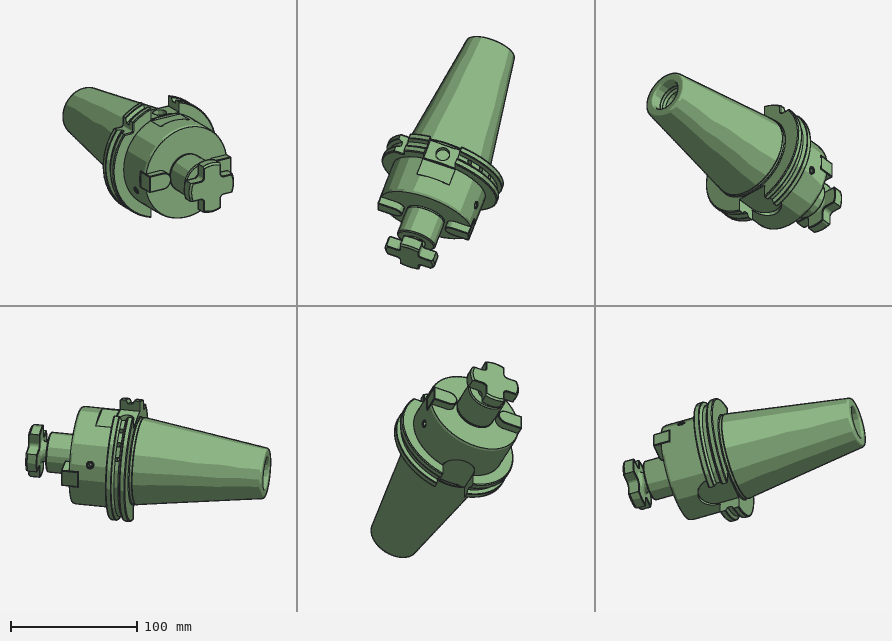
import cadquery as cq
import math

GAUGE_X = 101.7
FLANGE_X = 105.0
GROOVE_X = 112.7
FLANGE_END_X = 120.7
NOSE_END_X = 152.0
SPIGOT_END_X = 175.5
OVERALL_LENGTH = 190.8

GAUGE_RADIUS = 35.0
TAPER_SLOPE = 7 / 48
REAR_ROUND = 2.1
NECK_RADIUS = 34.5
NECK_STEP = 0.5
NECK_CHAMFER = 0.8
ENTRY_FILLET = 1.3
ENTRY_DIAMETER = 25.5
ENTRY_END_X = 8.5
BORE_DIAMETER = 25.0
BORE_END_X = 11.3
THREAD_DIAMETER = 21.0
THREAD_X = 13.0
THREAD_END_X = 45.8
BORE_FLOOR_DIAMETER = 14.0
BORE_CONE_ANGLE = 60.0

FLANGE_RADIUS = 48.6
FLANGE_CHAMFER = 0.8
GROOVE_FLOOR_RADIUS = 45.5
GROOVE_FLOOR_WIDTH = 3.2
GROOVE_WALL_ANGLE = 30.0
GROOVE_RIM_WIDTH = 0.5
GROOVE_RIM_DEPTH = 0.29
SLOT_WIDTH = 26.3
UPPER_SLOT_FLOOR = 37.8
LOWER_SLOT_FLOOR = 35.3
NOTCH_OFFSET = 30.0
NOTCH_FILLET = 2.0
CHIP_HOLE_DIAMETER = 11.0
CHIP_HOLE_DEPTH = 4.5
BALANCE_HOLE_DIAMETER = 3.5
BALANCE_HOLE_DEPTH = 9.5
BALANCE_ANGLES = (30, 45, 60)

NOSE_RADIUS = 39.0
NOSE_CHAMFER_LENGTH = 2.0
NOSE_CHAMFER_DEPTH = 0.5
FLAT_X = 121.3
FLAT_END_X = 135.2
FLAT_HEIGHT = 36.5
SPIGOT_DIAMETER = 31.9
SPIGOT_CHAMFER = 1.0
RELIEF_DIAMETER = 31.5
RELIEF_END_X = 153.4

KEY_WIDTH = 14.0
KEY_X = 144.4
KEY_END_X = 158.3
KEY_OUTER_Y = 38.3
KEY_INNER_Y = 18.1
KEY_CHAMFER = 0.5
KEY_TURNS = (0, 180)

SHANK_RADIUS = 8.0
SHANK_X = 141.2
HEAD_X = 181.4
HEAD_RADIUS = 21.0
HEAD_FILLET = 2.7
LUG_WIDTH = 15.6
LUG_FILLET = 3.2
LUG_CHAMFER = 0.5
HEAD_BACK_CHAMFER = 0.5
HEAD_FRONT_CHAMFER = 1.5

NOZZLE_X = 135.5
NOZZLE_ANGLE = 20.0
NOZZLE_TURNS = (NOZZLE_ANGLE - 90, NOZZLE_ANGLE + 90)
NOZZLE_DIAMETER = 6.0
NOZZLE_BORE = 3.5
NOZZLE_LENGTH = 5.7
NOZZLE_CHAMFER = 0.8
NOZZLE_RECESS = 0.5


def box(x0, x1, y0, y1, z0, z1):
    """Axis-aligned block between the given limits."""
    return cq.Workplane("XY").box(x1 - x0, y1 - y0, z1 - z0, centered=False).translate((x0, y0, z0))


def rod(radius, x0, x1):
    """Cylinder on the X axis."""
    return cq.Workplane("YZ", origin=(x0, 0, 0)).circle(radius).extrude(x1 - x0)


def spin(profile):
    """Revolve a closed X-radius profile about the X axis."""
    return profile.close().revolve(360, (0, 0, 0), (1, 0, 0))


def radial_rod(diameter, x, angle, inner, outer):
    """Cylinder pointing away from the X axis, at an angle from +Z towards +Y."""
    rod_up = cq.Workplane("XY", origin=(x, 0, inner)).circle(diameter / 2).extrude(outer - inner)
    return rod_up.rotate((0, 0, 0), (1, 0, 0), -angle)


def turned(body, angle):
    """The body turned about the X axis, from +Y towards +Z."""
    return body.rotate((0, 0, 0), (1, 0, 0), angle)


def taper():
    """Taper with a rounded small end, and the short neck behind the flange."""
    rear_radius = GAUGE_RADIUS - GAUGE_X * TAPER_SLOPE
    cone = spin(
        cq.Workplane("XY")
        .lineTo(0, rear_radius)
        .lineTo(GAUGE_X, GAUGE_RADIUS)
        .lineTo(GAUGE_X + NECK_STEP, NECK_RADIUS)
        .lineTo(FLANGE_X - NECK_CHAMFER, NECK_RADIUS)
        .lineTo(FLANGE_X, NECK_RADIUS + NECK_CHAMFER)
        .lineTo(FLANGE_X, 0)
    )
    return cone.faces("<X").edges().fillet(REAR_ROUND)


def rear_bore():
    """Space of the stepped threaded bore, ending in a cone with a flat floor."""
    entry = ENTRY_DIAMETER / 2
    bore = BORE_DIAMETER / 2
    thread = THREAD_DIAMETER / 2
    floor = BORE_FLOOR_DIAMETER / 2
    floor_x = THREAD_END_X + (thread - floor) / math.tan(math.radians(BORE_CONE_ANGLE))
    return spin(
        cq.Workplane("XY")
        .lineTo(0, entry + ENTRY_FILLET)
        .radiusArc((ENTRY_FILLET, entry), -ENTRY_FILLET)
        .lineTo(ENTRY_END_X, entry)
        .lineTo(ENTRY_END_X, bore)
        .lineTo(BORE_END_X, bore)
        .lineTo(THREAD_X, thread)
        .lineTo(THREAD_END_X, thread)
        .lineTo(floor_x, floor)
        .lineTo(floor_x, 0)
    )


def gripper_groove():
    """Ring of the V groove around the flange rim."""
    floor = GROOVE_FLOOR_WIDTH / 2
    wall_top = FLANGE_RADIUS - GROOVE_RIM_DEPTH
    rim = floor + (wall_top - GROOVE_FLOOR_RADIUS) * math.tan(math.radians(GROOVE_WALL_ANGLE))
    return spin(
        cq.Workplane("XY")
        .moveTo(GROOVE_X - floor, GROOVE_FLOOR_RADIUS)
        .lineTo(GROOVE_X - rim, wall_top)
        .lineTo(GROOVE_X - rim - GROOVE_RIM_WIDTH, FLANGE_RADIUS)
        .lineTo(GROOVE_X + rim + GROOVE_RIM_WIDTH, FLANGE_RADIUS)
        .lineTo(GROOVE_X + rim, wall_top)
        .lineTo(GROOVE_X + floor, GROOVE_FLOOR_RADIUS)
    )


def flange():
    """Grooved flange with its upper slot, corner notch, chip hole and balance holes."""
    reach = FLANGE_RADIUS + 2
    notch = box(FLANGE_X, FLANGE_END_X, -reach, -NOTCH_OFFSET, NOTCH_OFFSET, reach)
    notch = notch.edges("|X and >Y and <Z").fillet(NOTCH_FILLET)
    body = rod(FLANGE_RADIUS, FLANGE_X, FLANGE_END_X).cut(notch)
    body = body.faces("<X or >X").edges().chamfer(FLANGE_CHAMFER)
    body = body.cut(gripper_groove())

    half_slot = SLOT_WIDTH / 2
    body = body.cut(box(FLANGE_X, FLANGE_END_X, -half_slot, half_slot, UPPER_SLOT_FLOOR, reach))

    chip_floor = UPPER_SLOT_FLOOR - CHIP_HOLE_DEPTH
    body = body.cut(radial_rod(CHIP_HOLE_DIAMETER, GROOVE_X, 0, chip_floor, UPPER_SLOT_FLOOR))
    for angle in BALANCE_ANGLES:
        hole_floor = GROOVE_FLOOR_RADIUS - BALANCE_HOLE_DEPTH
        body = body.cut(radial_rod(BALANCE_HOLE_DIAMETER, GROOVE_X, angle, hole_floor, FLANGE_RADIUS))
    return body


def lower_slot():
    """Slot across the underside of the flange, ending in a half round in the nose."""
    half = SLOT_WIDTH / 2
    slot = box(FLANGE_X, FLANGE_END_X, -half, half, -FLANGE_RADIUS, -LOWER_SLOT_FLOOR)
    round_end = cq.Workplane("XY", origin=(FLANGE_END_X, 0, -FLANGE_RADIUS))
    return slot.union(round_end.circle(half).extrude(FLANGE_RADIUS - LOWER_SLOT_FLOOR))


def nose():
    """Cylinder ahead of the flange with a flat on top, and the spigot."""
    spigot_radius = SPIGOT_DIAMETER / 2
    relief_radius = RELIEF_DIAMETER / 2
    body = spin(
        cq.Workplane("XY")
        .moveTo(FLANGE_END_X, 0)
        .lineTo(FLANGE_END_X, NOSE_RADIUS)
        .lineTo(NOSE_END_X - NOSE_CHAMFER_LENGTH, NOSE_RADIUS)
        .lineTo(NOSE_END_X, NOSE_RADIUS - NOSE_CHAMFER_DEPTH)
        .lineTo(NOSE_END_X, relief_radius)
        .lineTo(RELIEF_END_X, relief_radius)
        .lineTo(RELIEF_END_X, spigot_radius)
        .lineTo(SPIGOT_END_X - SPIGOT_CHAMFER, spigot_radius)
        .lineTo(SPIGOT_END_X, spigot_radius - SPIGOT_CHAMFER)
        .lineTo(SPIGOT_END_X, 0)
    )
    flat = box(FLAT_X, FLAT_END_X, -NOSE_RADIUS, NOSE_RADIUS, FLAT_HEIGHT, NOSE_RADIUS)
    return body.cut(flat)


def key_blank(outer_y):
    """Key on the +Y side: straight flanks and a round inner end."""
    half = KEY_WIDTH / 2
    return (
        cq.Workplane("YZ", origin=(KEY_X, 0, 0))
        .moveTo(outer_y, -half)
        .lineTo(outer_y, half)
        .lineTo(KEY_INNER_Y + half, half)
        .threePointArc((KEY_INNER_Y, 0), (KEY_INNER_Y + half, -half))
        .close()
        .extrude(KEY_END_X - KEY_X)
    )


def drive_key():
    """Key with chamfered outer and front faces."""
    return key_blank(KEY_OUTER_Y).faces(">Y or >X").edges().chamfer(KEY_CHAMFER)


def nozzle():
    """Nozzle pointing up +Z, at its place along X."""
    top = NOSE_RADIUS - NOZZLE_RECESS
    body = radial_rod(NOZZLE_DIAMETER, NOZZLE_X, 0, NOSE_RADIUS - NOZZLE_LENGTH, top)
    body = body.faces(">Z").edges().chamfer(NOZZLE_CHAMFER)
    return body.faces(">Z").workplane().hole(NOZZLE_BORE)


def clamping_screw():
    """Screw with a plain shank and a four-lug head."""
    shank = spin(
        cq.Workplane("XY")
        .moveTo(SHANK_X, 0)
        .lineTo(SHANK_X, SHANK_RADIUS)
        .lineTo(HEAD_X - HEAD_FILLET, SHANK_RADIUS)
        .radiusArc((HEAD_X, SHANK_RADIUS + HEAD_FILLET), -HEAD_FILLET)
        .lineTo(HEAD_X, 0)
    )
    half = LUG_WIDTH / 2
    reach = HEAD_RADIUS + 2
    cross = box(HEAD_X, OVERALL_LENGTH, -reach, reach, -half, half)
    cross = cross.union(cross.rotate((0, 0, 0), (1, 0, 0), 90))
    core_start = (HEAD_X, -LUG_WIDTH, -LUG_WIDTH)
    core_end = (OVERALL_LENGTH, LUG_WIDTH, LUG_WIDTH)
    inner_edges = cq.selectors.BoxSelector(core_start, core_end)
    cross = cross.edges("|X").edges(inner_edges).fillet(LUG_FILLET)
    cross = cross.faces("<X or >X").edges().chamfer(LUG_CHAMFER)
    rim = rod(HEAD_RADIUS, HEAD_X, OVERALL_LENGTH)
    rim = rim.faces("<X").edges().chamfer(HEAD_BACK_CHAMFER)
    rim = rim.faces(">X").edges().chamfer(HEAD_FRONT_CHAMFER)
    return shank.union(cross.intersect(rim))


def holder():
    """One-piece holder with its seats for the screw, keys and nozzles."""
    body = taper().union(flange()).union(nose())
    body = body.cut(lower_slot())
    body = body.cut(rear_bore())
    body = body.cut(rod(SHANK_RADIUS, SHANK_X, SPIGOT_END_X))
    for angle in KEY_TURNS:
        body = body.cut(turned(key_blank(FLANGE_RADIUS), angle))
    seat = radial_rod(NOZZLE_DIAMETER, NOZZLE_X, 0, NOSE_RADIUS - NOZZLE_LENGTH, FLANGE_RADIUS)
    for angle in NOZZLE_TURNS:
        body = body.cut(turned(seat, angle))
    return body


keys = [turned(drive_key(), angle) for angle in KEY_TURNS]
nozzles = [turned(nozzle(), angle) for angle in NOZZLE_TURNS]

result = cq.Compound.makeCompound(
    [
        holder().val(),
        clamping_screw().val(),
        *[key.val() for key in keys],
        *[body.val() for body in nozzles],
    ]
)